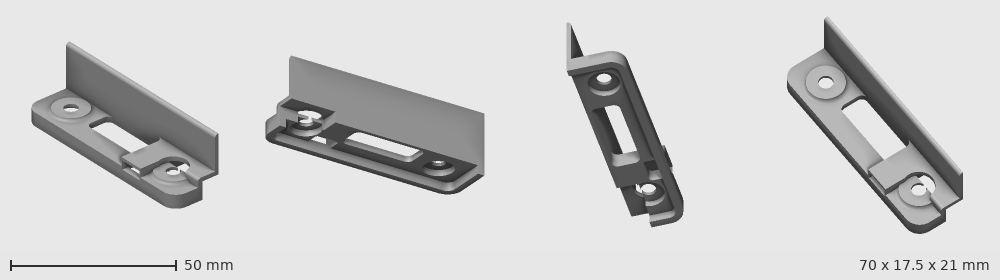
import cadquery as cq
import math

LENGTH = 70.0
DEPTH = 17.5
HEIGHT = 21.0

BASE_HEIGHT = 4.9
PLATE_THICKNESS = 2.0
CORNER_RADIUS = 5.0
RIM_WIDTH = 2.3
PLATE_UNDERSIDE = BASE_HEIGHT - PLATE_THICKNESS

WALL_THICKNESS = 1.3
WALL_EDGE_RADIUS = 1.25
WALL_FACE_Y = DEPTH - WALL_THICKNESS

BOSS_INSET = 11.0
BOSS_Y = 8.95
BOSS_DIAMETER = 12.1
BOSS_HEIGHT = 1.05
BOSS_FOOT_RADIUS = 1.25
SCREW_HOLE_DIAMETER = 4.6
SCREW_HEAD_DIAMETER = 10.0
BOSS_TOP = BASE_HEIGHT + BOSS_HEIGHT
BOSS_CENTERS = [(BOSS_INSET, BOSS_Y), (LENGTH - BOSS_INSET, BOSS_Y)]

WINDOW_LEFT = 20.3
WINDOW_FRONT_Y = 7.15
WINDOW_CORNER_RADIUS = 2.0

BRIDGE_TOP = 8.05
ARM_LEFT = 45.35
ARM_RIGHT = 54.3
SHELF_FRONT_Y = 9.45
SHELF_EDGE_RADIUS = 1.05

POCKET_LEFT = 45.7
POCKET_RIGHT = 53.8
POCKET_ROOF = 7.0
POCKET_CORNER_RADIUS = 1.25
MOUTH_FLOOR = 3.8

CHANNEL_FRONT_Y = 11.2
CHANNEL_ROOF = 6.5
CHANNEL_LEFT = LENGTH - BOSS_INSET - SCREW_HEAD_DIAMETER / 2


def block(x_span, y_span, z_span):
    """Box between the given (low, high) limits on each axis."""
    spans = (x_span, y_span, z_span)
    sizes = [high - low for low, high in spans]
    corner = tuple(low for low, high in spans)
    return cq.Workplane("XY").box(*sizes, centered=False).translate(corner)


def cylinder(center, diameter, z_low, z_high):
    """Upright cylinder between two heights."""
    return cq.Workplane("XY", origin=(*center, z_low)).circle(diameter / 2).extrude(z_high - z_low)


def make_base():
    base = block((0, LENGTH), (0, DEPTH), (0, BASE_HEIGHT))
    return base.edges("|Z and <Y").fillet(CORNER_RADIUS)


def make_wall():
    wall = block((0, LENGTH), (WALL_FACE_Y, DEPTH), (0, HEIGHT))
    return wall.edges("|X and >Z and <Y").fillet(WALL_EDGE_RADIUS)


def make_boss(center):
    """Low disc whose side is a concave flare down to the plate."""
    top_radius = BOSS_DIAMETER / 2
    foot_radius = top_radius + BOSS_FOOT_RADIUS
    diagonal_offset = BOSS_FOOT_RADIUS * math.sqrt(0.5)
    profile = (
        cq.Workplane("XZ")
        .moveTo(0, 0)
        .lineTo(foot_radius, 0)
        .threePointArc(
            (foot_radius - diagonal_offset, BOSS_FOOT_RADIUS - diagonal_offset),
            (top_radius, BOSS_FOOT_RADIUS),
        )
        .lineTo(0, BOSS_FOOT_RADIUS)
        .close()
    )
    flare = profile.revolve(360, (0, 0, 0), (0, 1, 0))
    flare = flare.translate((*center, BASE_HEIGHT))
    return flare.intersect(cylinder(center, 2 * foot_radius, BASE_HEIGHT, BOSS_TOP))


def make_bridge():
    z_span = (PLATE_UNDERSIDE, BRIDGE_TOP)
    shelf = block((ARM_LEFT, LENGTH), (SHELF_FRONT_Y, DEPTH), z_span)
    shelf = shelf.edges("|X and >Z and <Y").fillet(SHELF_EDGE_RADIUS)
    arm = block((ARM_LEFT, ARM_RIGHT), (0, DEPTH), z_span)
    corner = block(
        (ARM_LEFT - WINDOW_CORNER_RADIUS, ARM_LEFT),
        (WALL_FACE_Y - WINDOW_CORNER_RADIUS, DEPTH),
        z_span,
    )
    return shelf.union(arm).union(corner)


def make_window():
    window = block((WINDOW_LEFT, ARM_LEFT), (WINDOW_FRONT_Y, WALL_FACE_Y), (0, BRIDGE_TOP))
    return window.edges("|Z").fillet(WINDOW_CORNER_RADIUS)


def make_hollow():
    hollow = block((RIM_WIDTH, LENGTH - RIM_WIDTH), (RIM_WIDTH, DEPTH), (0, PLATE_UNDERSIDE))
    return hollow.edges("|Z and <Y").fillet(CORNER_RADIUS - RIM_WIDTH)


def make_pocket():
    x_span = (POCKET_LEFT, POCKET_RIGHT)
    pocket = block(x_span, (RIM_WIDTH, WINDOW_FRONT_Y), (0, POCKET_ROOF))
    pocket = pocket.edges("|Z and >Y").fillet(POCKET_CORNER_RADIUS)
    mouth = block(x_span, (0, RIM_WIDTH), (MOUTH_FLOOR, POCKET_ROOF))
    return pocket.union(mouth)


access_hole = cylinder(BOSS_CENTERS[1], SCREW_HEAD_DIAMETER, BOSS_TOP, BRIDGE_TOP)
bridge = make_bridge().cut(access_hole)

result = make_base().union(make_wall()).union(bridge)
for boss_center in BOSS_CENTERS:
    result = result.union(make_boss(boss_center))

result = result.cut(make_window()).cut(make_hollow()).cut(make_pocket())
result = result.cut(block((CHANNEL_LEFT, LENGTH), (CHANNEL_FRONT_Y, DEPTH), (0, CHANNEL_ROOF)))

for boss_center in BOSS_CENTERS:
    result = result.cut(cylinder(boss_center, SCREW_HEAD_DIAMETER, 0, BASE_HEIGHT))
    result = result.cut(cylinder(boss_center, SCREW_HOLE_DIAMETER, 0, BOSS_TOP))